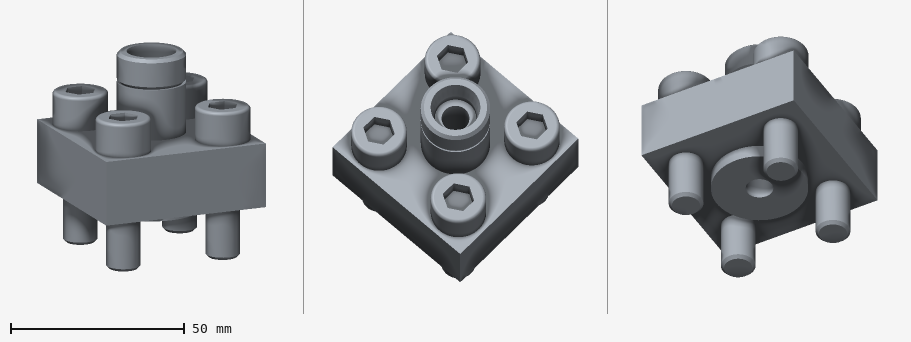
import cadquery as cq
import math

plate_side = 50.0
plate_height = 19.0

spigot_diameter = 28.0
spigot_height = 4.0

stem_diameter = 20.0
stem_height = 24.0
thread_pitch = 1.5
thread_length = 9.0
thread_depth = 0.6134 * thread_pitch

tube_diameter = 12.0
cone_mouth_diameter = 14.3
cone_half_angle = 12.0
socket_depth = 7.5
passage_diameter = 8.0

screw_pitch_circle = 44.0
screw_diameter = 10.0
screw_projection = 16.0
head_diameter = 16.0
head_height = 10.0
head_fillet = 1.0
hex_across_flats = 8.0
hex_depth = 5.0

stem_radius = stem_diameter / 2
thread_core_radius = stem_radius - thread_depth
stem_top = plate_height + stem_height
thread_bottom = stem_top - thread_length
cone_depth = (cone_mouth_diameter - tube_diameter) / 2 / math.tan(math.radians(cone_half_angle))
screw_offset = screw_pitch_circle / 2 / math.sqrt(2)
hex_across_corners = hex_across_flats / math.cos(math.radians(30))


def revolve_about_z(profile):
    """Revolve a closed (radius, height) profile around the Z axis."""
    return cq.Workplane("XZ").polyline(profile).close().revolve(360, (0, 0), (0, 1))


def make_flange():
    """Square plate with the round spigot below it."""
    plate = cq.Workplane("XY").box(plate_side, plate_side, plate_height, centered=(True, True, False))
    spigot = cq.Workplane("XY").circle(spigot_diameter / 2).extrude(-spigot_height)
    return plate.union(spigot)


def make_stem():
    """Round stem whose threaded end is chamfered at both ends, leaving a V groove below it."""
    return revolve_about_z([
        (0, plate_height),
        (stem_radius, plate_height),
        (stem_radius, thread_bottom),
        (thread_core_radius, thread_bottom),
        (stem_radius, thread_bottom + thread_depth),
        (stem_radius, stem_top - thread_depth),
        (thread_core_radius, stem_top),
        (0, stem_top),
    ])


def make_bore():
    """Cutter for the sealing cone, the tube socket and the through passage."""
    return revolve_about_z([
        (0, -spigot_height),
        (passage_diameter / 2, -spigot_height),
        (passage_diameter / 2, stem_top - socket_depth),
        (tube_diameter / 2, stem_top - socket_depth),
        (tube_diameter / 2, stem_top - cone_depth),
        (cone_mouth_diameter / 2, stem_top),
        (0, stem_top),
    ])


def make_screw():
    """Socket head screw on the Z axis, with its head resting on the plate."""
    shank = (
        cq.Workplane("XY")
        .workplane(offset=-screw_projection)
        .circle(screw_diameter / 2)
        .extrude(screw_projection + plate_height)
        .faces("<Z")
        .chamfer(thread_depth)
    )
    head = (
        cq.Workplane("XY")
        .workplane(offset=plate_height)
        .circle(head_diameter / 2)
        .extrude(head_height)
        .faces(">Z")
        .edges()
        .fillet(head_fillet)
    )
    hex_socket = (
        cq.Workplane("XY")
        .workplane(offset=plate_height + head_height - hex_depth)
        .polygon(6, hex_across_corners)
        .extrude(hex_depth)
        .rotate((0, 0, 0), (0, 0, 1), 30)
    )
    return shank.union(head).cut(hex_socket)


result = make_flange().union(make_stem()).cut(make_bore())
screw = make_screw()
for x_side in (-1, 1):
    for y_side in (-1, 1):
        result = result.union(screw.translate((x_side * screw_offset, y_side * screw_offset, 0)))